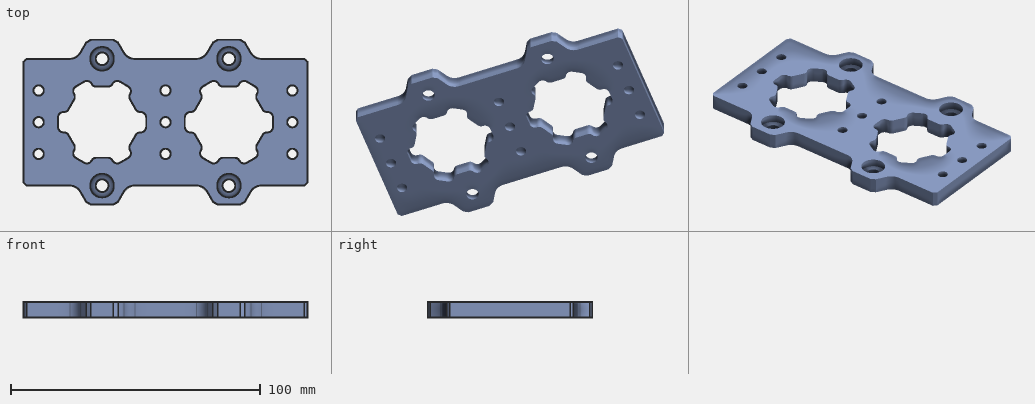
import cadquery as cq
import math

THICKNESS = 6.35
LENGTH = 113.79
TOTAL_WIDTH = 66.04
CORNER_CHAMFER = 1.27

STATION_X = 25.4
STATIONS = (-STATION_X, STATION_X)
TAB_SCREW_Y = 25.4
BODY_WIDTH = 2 * TAB_SCREW_Y

TAB_TIP_WIDTH = 11.5
TAB_FLANK_ANGLE = 60.0
TAB_TIP_CHAMFER = 1.27
TAB_ROOT_RADIUS = 5.0
TAB_HEIGHT = (TOTAL_WIDTH - BODY_WIDTH) / 2
TAB_ROOT_WIDTH = TAB_TIP_WIDTH + 2 * TAB_HEIGHT / math.tan(math.radians(TAB_FLANK_ANGLE))

SCREW_DIAMETER = 5.0
COUNTERBORE_DIAMETER = 9.525
COUNTERBORE_DEPTH = THICKNESS / 2

PIN_DIAMETER = 4.05
PIN_PITCH_X = 2 * STATION_X
PIN_PITCH_Y = 12.7
PIN_COUNT = 3

LOBE_COUNT = 6
HEX_APOTHEM = 14.2
LOBE_REACH = 17.6
LOBE_WIDTH = 8.08
LOBE_TIP_RADIUS = 2.15
LOBE_ROOT_RADIUS = 2.1

TOLERANCE = 0.01


def at_radius(distance):
    """Selector for the edges centred at this distance from the Z axis."""
    return lambda edge: abs(math.hypot(edge.Center().x, edge.Center().y) - distance) < TOLERANCE


def make_body():
    body = cq.Workplane("XY").rect(LENGTH, BODY_WIDTH).extrude(THICKNESS)
    return body.edges("|Z").chamfer(CORNER_CHAMFER)


def make_tab_pair():
    """A bar across the plate whose two ends are the tabs, flared down to the body edges."""
    edge_y = BODY_WIDTH / 2
    tip_y = TOTAL_WIDTH / 2
    tip_x = TAB_TIP_WIDTH / 2
    root_x = TAB_ROOT_WIDTH / 2
    outline = [
        (tip_x, tip_y),
        (root_x, edge_y),
        (root_x, -edge_y),
        (tip_x, -tip_y),
        (-tip_x, -tip_y),
        (-root_x, -edge_y),
        (-root_x, edge_y),
        (-tip_x, tip_y),
    ]
    tabs = cq.Workplane("XY").polyline(outline).close().extrude(THICKNESS)
    tip_edges = tabs.edges("|Z").filter(at_radius(math.hypot(tip_x, tip_y)))
    return tip_edges.chamfer(TAB_TIP_CHAMFER)


def is_tab_root(edge):
    """True for an edge where a tab flank meets the long edge of the body."""
    offset_from_station = abs(abs(edge.Center().x) - STATION_X)
    return abs(offset_from_station - TAB_ROOT_WIDTH / 2) < TOLERANCE


def add_tabs(body):
    tabs = make_tab_pair()
    for x in STATIONS:
        body = body.union(tabs.translate((x, 0, 0)))
    return body.edges("|Z").filter(is_tab_root).fillet(TAB_ROOT_RADIUS)


def make_opening():
    """Solid with the shape of one opening, centred on the Z axis."""
    half_pitch = math.pi / LOBE_COUNT
    hexagon_diameter = 2 * HEX_APOTHEM / math.cos(half_pitch)
    opening = cq.Workplane("XY").polygon(LOBE_COUNT, hexagon_diameter).extrude(THICKNESS)

    lobe_pair = cq.Workplane("XY").rect(2 * LOBE_REACH, LOBE_WIDTH).extrude(THICKNESS)
    for index in range(LOBE_COUNT // 2):
        angle = index * 360 / LOBE_COUNT
        opening = opening.union(lobe_pair.rotate((0, 0, 0), (0, 0, 1), angle))

    half_width = LOBE_WIDTH / 2
    root_x = (HEX_APOTHEM - half_width * math.sin(half_pitch)) / math.cos(half_pitch)
    tip_edges = opening.edges("|Z").filter(at_radius(math.hypot(LOBE_REACH, half_width)))
    opening = tip_edges.fillet(LOBE_TIP_RADIUS)
    root_edges = opening.edges("|Z").filter(at_radius(math.hypot(root_x, half_width)))
    return root_edges.fillet(LOBE_ROOT_RADIUS)


def cut_openings(plate):
    opening = make_opening()
    for x in STATIONS:
        plate = plate.cut(opening.translate((x, 0, 0)))
    return plate


def cut_tab_screw_holes(plate):
    return (
        plate.faces(">Z")
        .workplane(origin=(0, 0, THICKNESS))
        .rarray(2 * STATION_X, 2 * TAB_SCREW_Y, len(STATIONS), 2)
        .cboreHole(SCREW_DIAMETER, COUNTERBORE_DIAMETER, COUNTERBORE_DEPTH)
    )


def cut_pin_holes(plate):
    return (
        plate.faces(">Z")
        .workplane(origin=(0, 0, THICKNESS))
        .rarray(PIN_PITCH_X, PIN_PITCH_Y, PIN_COUNT, PIN_COUNT)
        .hole(PIN_DIAMETER)
    )


plate = add_tabs(make_body())
plate = cut_openings(plate)
plate = cut_tab_screw_holes(plate)
result = cut_pin_holes(plate)